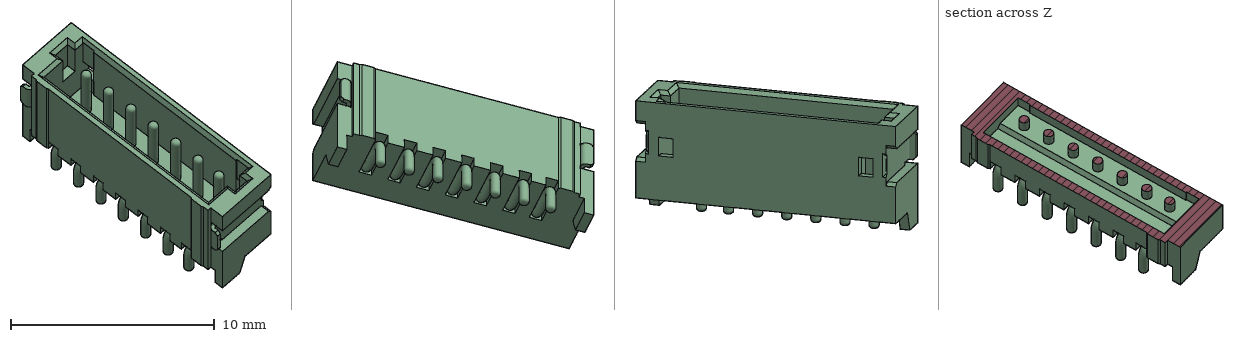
import cadquery as cq
import math


length = 13.42
depth = 3.49
height = 5.0
half_length = length / 2

panel_half_length = 5.93
panel_rise = 0.2
strip_rise = 0.25
strip_outer = 5.52
strip_inner = 4.88
strip_outer_slope = 0.12
strip_inner_slope = 0.1

cavity_half_length = 5.53
cavity_front = 0.27
cavity_back = 3.03
front_floor = 1.0
rear_floor = 1.21
bevel = 0.2
end_recess_depth = 0.05
end_recess_start = 4.79

slot_end = 6.03
slot_front = 1.62
slot_back = 2.5
slot_floor = 3.03

groove_floor = 6.21
groove_middle = 2.94
groove_half_height = 0.87
groove_flare = 0.17

window_bottom = 2.28
window_top = 3.23
lead_in_half_height = 0.6
lead_in_step_half_height = 0.31
lead_in_step_depth = 0.12

tab_half_height = 0.74
tab_thickness = 0.21
tab_end = 6.62
tab_inside_radius = 0.08
tab_corner = 0.16
pocket_depth = 0.48
pocket_corner = 0.08
pocket_corner_height = 0.04

leg_drop = 1.0
leg_toe = 1.26
leg_heel = 1.62

spaced_pins = 6
pin_pitch = 1.5
end_pin_offset = 4.45
pin_radius = 0.25
pin_row = 2.15
pin_top = 4.28
pin_bottom = -1.49
pin_level = 0.15
pin_bend = 0.55
pin_tip_round = 0.17
channel_width = 0.65
channel_height = 0.54


def box(x_range, y_range, z_range):
    """Block between the given limits."""
    size = [high - low for low, high in (x_range, y_range, z_range)]
    corner = (x_range[0], y_range[0], z_range[0])
    return cq.Workplane("XY").box(*size, centered=False).translate(corner)


def both_ends(shape):
    """The shape at the +X end together with its mirror image at the -X end."""
    return shape.union(shape.mirror("YZ"))


def end_profile(points, inner, outer):
    """A (Y, Z) outline extruded along X from inner to outer."""
    return cq.Workplane("YZ").workplane(offset=inner).polyline(points).close().extrude(outer - inner)


def front_panel():
    right_side = [
        (panel_half_length, 0),
        (panel_half_length, -panel_rise),
        (strip_outer + strip_outer_slope, -panel_rise),
        (strip_outer, -strip_rise),
        (strip_inner, -strip_rise),
        (strip_inner - strip_inner_slope, -panel_rise),
    ]
    left_side = [(-x, y) for x, y in reversed(right_side)]
    return cq.Workplane("XY").polyline(right_side + left_side).close().extrude(height)


def leg():
    outline = [(0, 0), (0, -leg_drop), (leg_toe, -leg_drop), (leg_heel, 0)]
    return end_profile(outline, groove_floor, half_length)


def mouth_bevel(half_x, front, back):
    """Flared mouth of a rectangular opening of the given size."""
    mid_y = (front + back) / 2
    return (
        cq.Workplane("XY", origin=(0, mid_y, height - bevel))
        .rect(2 * half_x, back - front)
        .workplane(offset=bevel)
        .rect(2 * (half_x + bevel), back - front + 2 * bevel)
        .loft(ruled=True)
    )


def cavity():
    sloped_floor = [
        (cavity_front, height),
        (cavity_front, front_floor),
        (slot_front - bevel, front_floor),
        (slot_front, rear_floor),
        (cavity_back, rear_floor),
        (cavity_back, height),
    ]
    well = end_profile(sloped_floor, -cavity_half_length, cavity_half_length)
    slots = box((-slot_end, slot_end), (slot_front, slot_back), (slot_floor, height))
    end_recess = box(
        (end_recess_start, cavity_half_length),
        (slot_back, cavity_back + end_recess_depth),
        (rear_floor, height),
    )
    return (
        well.union(slots)
        .union(both_ends(end_recess))
        .union(mouth_bevel(cavity_half_length, cavity_front, cavity_back))
        .union(mouth_bevel(slot_end, slot_front, slot_back))
    )


def groove():
    flare_start = depth - groove_flare
    flared = groove_half_height + groove_flare
    outline = [
        (0, groove_half_height),
        (flare_start, groove_half_height),
        (depth, flared),
        (depth, -flared),
        (flare_start, -groove_half_height),
        (0, -groove_half_height),
    ]
    outline = [(y, groove_middle + z) for y, z in outline]
    return end_profile(outline, groove_floor, half_length)


def tab_pockets():
    """Clearance above and below the solder tab, sunk into the groove floor."""
    outline = [
        (0, groove_half_height),
        (pocket_depth, groove_half_height),
        (pocket_depth, tab_half_height + pocket_corner_height),
        (pocket_depth - pocket_corner, tab_half_height),
        (0, tab_half_height),
    ]
    upper = [(y, groove_middle + z) for y, z in outline]
    lower = [(y, groove_middle - z) for y, z in outline]
    inner = groove_floor - tab_thickness
    return end_profile(upper, inner, groove_floor).union(end_profile(lower, inner, groove_floor))


def window():
    return box((end_recess_start, cavity_half_length), (cavity_back, depth), (window_bottom, window_top))


def lead_in():
    """Bevel on the rear edge of the groove floor, tapered at both ends and shallower in the middle."""
    wedge = (
        cq.Workplane("XY")
        .moveTo(groove_floor, depth - groove_flare)
        .lineTo(groove_floor, depth)
        .lineTo(groove_floor - groove_flare, depth)
        .close()
        .extrude(height)
    )
    short = lead_in_half_height - groove_flare
    front = depth - groove_flare
    step_front = depth - lead_in_step_depth
    upper_half = [
        (step_front, lead_in_step_half_height),
        (front, lead_in_step_half_height),
        (front, short),
        (depth, lead_in_half_height),
    ]
    lower_half = [(y, -z) for y, z in reversed(upper_half)]
    outline = [(y, groove_middle + z) for y, z in upper_half + lower_half]
    taper = end_profile(outline, groove_floor - groove_flare, groove_floor)
    return wedge.intersect(taper)


def solder_tab():
    """Sheet running forward inside the groove floor and bent outward in front of the end block."""
    outside_radius = tab_inside_radius + tab_thickness
    bend_x = groove_floor + tab_inside_radius
    front = -strip_rise
    bend_y = front + outside_radius
    diagonal = math.sqrt(0.5)
    outer_mid = (bend_x - outside_radius * diagonal, bend_y - outside_radius * diagonal)
    inner_mid = (bend_x - tab_inside_radius * diagonal, bend_y - tab_inside_radius * diagonal)
    return (
        cq.Workplane("XY", origin=(0, 0, groove_middle - tab_half_height))
        .moveTo(groove_floor - tab_thickness, pocket_depth)
        .lineTo(groove_floor - tab_thickness, bend_y)
        .threePointArc(outer_mid, (bend_x, front))
        .lineTo(tab_end, front)
        .lineTo(tab_end, front + tab_thickness)
        .lineTo(bend_x, front + tab_thickness)
        .threePointArc(inner_mid, (groove_floor, bend_y))
        .lineTo(groove_floor, pocket_depth)
        .close()
        .extrude(2 * tab_half_height)
        .edges("|Y and >X")
        .chamfer(tab_corner)
    )


def pin(x):
    """Round pin that drops from the cavity, runs forward under the floor and turns down."""
    diagonal = pin_bend * math.sqrt(0.5)
    rear_y = pin_row - pin_bend
    rear_z = pin_level + pin_bend
    front_y = pin_bend
    front_z = pin_level - pin_bend
    path = (
        cq.Workplane("YZ")
        .moveTo(pin_row, pin_top)
        .lineTo(pin_row, rear_z)
        .threePointArc((rear_y + diagonal, rear_z - diagonal), (rear_y, pin_level))
        .lineTo(front_y, pin_level)
        .threePointArc((front_y - diagonal, front_z + diagonal), (0, front_z))
        .lineTo(0, pin_bottom)
    )
    wire = cq.Workplane("XY", origin=(0, pin_row, pin_top)).circle(pin_radius).sweep(path)
    return wire.faces(">Z or <Z").edges().fillet(pin_tip_round).translate((x, 0, 0))


def pin_channel(x):
    half_width = channel_width / 2
    return box((x - half_width, x + half_width), (-strip_rise, pin_row), (0, channel_height))


housing = box((-half_length, half_length), (0, depth), (0, height))
housing = housing.union(front_panel()).union(both_ends(leg()))
housing = housing.cut(cavity())
for opening in (groove(), tab_pockets(), window(), lead_in()):
    housing = housing.cut(both_ends(opening))

result = housing.union(both_ends(solder_tab()))
pin_places = [-end_pin_offset + index * pin_pitch for index in range(spaced_pins)]
pin_places.append(end_pin_offset)
for pin_x in pin_places:
    result = result.cut(pin_channel(pin_x)).union(pin(pin_x))